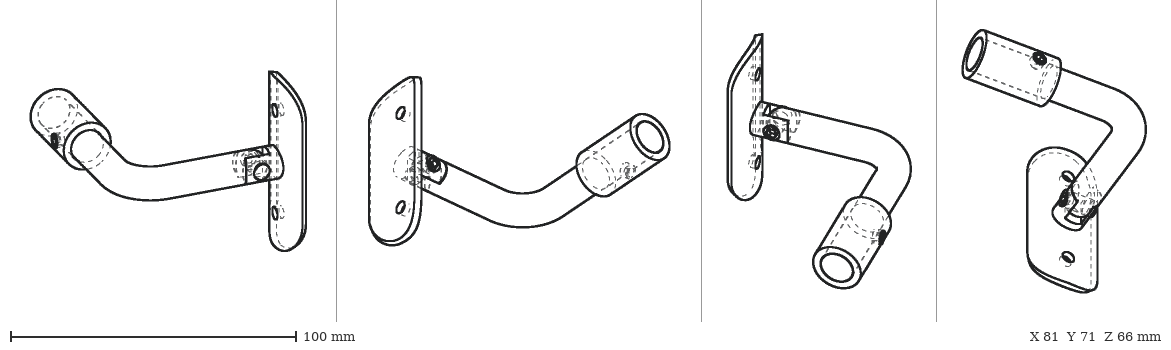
import cadquery as cq
import math

overall_length = 81.0
overall_depth = 71.0

sleeve_radius = 9.0
sleeve_length = 29.55
sleeve_bore_clearance = 0.2

screw_x = 21.1
screw_radius = 2.5
screw_rim_chamfer = 0.2
screw_hex_flats = 2.9
screw_hex_depth = 1.95

plate_height = 66.0
plate_width = 28.0
plate_outer_radius = 23.7
plate_thickness = 2.5
plate_corner_radius = 13.0
mount_hole_diameter = 4.5
mount_hole_z = 20.0

arm_radius = 6.0
bend_radius = 14.0
tongue_thickness = 6.2
tongue_tip_gap = 0.1

pivot_y = 48.0
fork_slot_end_y = 52.15
prong_tip_y = 42.1
prong_corner_y = 43.1
prong_end_gap = 0.25
bolt_radius = 3.0
bolt_hex_flats = 3.5
bolt_hex_depth = 2.0

post_x = overall_length - plate_width / 2
bend_start_x = post_x - bend_radius
plate_angle = math.asin(plate_width / 2 / plate_outer_radius)
plate_inner_radius = plate_outer_radius - plate_thickness
plate_back_y = overall_depth - sleeve_radius
plate_axis_y = plate_back_y + plate_inner_radius * math.cos(plate_angle)
arm_tip_y = fork_slot_end_y - tongue_tip_gap
prong_inner_x = tongue_thickness / 2
prong_half_height = math.sqrt(arm_radius**2 - prong_inner_x**2)


def cylinder(radius, length, start, direction):
    return cq.Workplane(cq.Solid.makeCylinder(radius, length, cq.Vector(*start), cq.Vector(*direction)))


def hex_cutter(across_flats, depth, plane):
    """Hexagonal prism that grows from the origin of the plane along its normal, two corners on its xDir."""
    across_corners = across_flats / math.cos(math.pi / 6)
    return cq.Workplane(plane).polygon(6, across_corners).extrude(depth)




def bent_strip():
    """Part of a tube wall between two radial end faces."""

    def rim_point(radius, angle):
        return (post_x + radius * math.sin(angle), plate_axis_y - radius * math.cos(angle))

    return (
        cq.Workplane("XY", origin=(0, 0, -plate_height / 2))
        .moveTo(*rim_point(plate_outer_radius, -plate_angle))
        .threePointArc(rim_point(plate_outer_radius, 0), rim_point(plate_outer_radius, plate_angle))
        .lineTo(*rim_point(plate_inner_radius, plate_angle))
        .threePointArc(rim_point(plate_inner_radius, 0), rim_point(plate_inner_radius, -plate_angle))
        .close()
        .extrude(plate_height)
    )


def rounded_end(side):
    """Block whose two rounded edges run along one radial end face; its other sides clear the plate."""
    across_end = (side * math.cos(plate_angle), math.sin(plate_angle), 0)
    outward = (side * math.sin(plate_angle), -math.cos(plate_angle), 0)
    plane = cq.Plane(origin=(post_x, plate_axis_y, 0), xDir=across_end, normal=outward)
    half_height = plate_height / 2
    corner_start_z = half_height - plate_corner_radius
    block_depth = 2 * plate_width
    return (
        cq.Workplane(plane)
        .moveTo(-block_depth, -half_height)
        .lineTo(-plate_corner_radius, -half_height)
        .radiusArc((0, -corner_start_z), -plate_corner_radius)
        .lineTo(0, corner_start_z)
        .radiusArc((-plate_corner_radius, half_height), -plate_corner_radius)
        .lineTo(-block_depth, half_height)
        .close()
        .extrude(2 * plate_outer_radius)
    )


def prong_block(end_shift):
    """Block as wide as the fork, from the slot end to the arched prong ends, which end_shift lengthens."""
    corner_y = prong_corner_y - end_shift
    tip_y = prong_tip_y - end_shift
    return (
        cq.Workplane("YZ", origin=(post_x - arm_radius, 0, 0))
        .moveTo(fork_slot_end_y, -prong_half_height)
        .lineTo(corner_y, -prong_half_height)
        .threePointArc((tip_y, 0), (corner_y, prong_half_height))
        .lineTo(fork_slot_end_y, prong_half_height)
        .close()
        .extrude(2 * arm_radius)
    )


def tongue_slab():
    """Slab as thick as the tongue that fills the slot of the fork."""
    slab_length = fork_slot_end_y - bend_radius
    return (
        cq.Workplane("XY")
        .box(tongue_thickness, slab_length, 2 * arm_radius, centered=(True, False, True))
        .translate((post_x, bend_radius, 0))
    )


def bolt_cylinder():
    """Full width of the fork; serves as the bolt and as the bore it fills."""
    return cylinder(bolt_radius, 2 * arm_radius, (post_x - arm_radius, pivot_y, 0), (1, 0, 0))


def make_wall_plate():
    plate = bent_strip().intersect(rounded_end(-1)).intersect(rounded_end(1))
    for z in (-mount_hole_z, mount_hole_z):
        plate = plate.cut(cylinder(mount_hole_diameter / 2, overall_depth, (post_x, 0, z), (0, 1, 0)))

    stub = cylinder(arm_radius, plate_axis_y - fork_slot_end_y, (post_x, fork_slot_end_y, 0), (0, 1, 0))
    tube_core = cylinder(
        plate_outer_radius, plate_height, (post_x, plate_axis_y, -plate_height / 2), (0, 0, 1)
    )
    stub = stub.cut(tube_core)

    prongs = cylinder(arm_radius, fork_slot_end_y, (post_x, 0, 0), (0, 1, 0))
    prongs = prongs.intersect(prong_block(0)).cut(tongue_slab()).cut(bolt_cylinder())
    return plate.union(stub).union(prongs)




def make_arm():
    round_end_y = arm_tip_y - arm_radius
    lower_leg = cylinder(arm_radius, bend_start_x, (0, 0, 0), (1, 0, 0))
    bend = (
        cq.Workplane("YZ", origin=(bend_start_x, 0, 0))
        .circle(arm_radius)
        .revolve(90, (bend_radius, 0, 0), (bend_radius, 1, 0))
    )
    upper_leg = cylinder(arm_radius, round_end_y - bend_radius, (post_x, bend_radius, 0), (0, 1, 0))
    round_end = cq.Workplane("XY", origin=(post_x, round_end_y, 0)).sphere(arm_radius)

    side_recesses = prong_block(prong_end_gap).cut(tongue_slab())
    upper_leg = upper_leg.union(round_end).cut(side_recesses).cut(bolt_cylinder())
    return lower_leg.union(bend).union(upper_leg)




def make_sleeve():
    sleeve = cylinder(sleeve_radius, sleeve_length, (0, 0, 0), (1, 0, 0))
    bore = cylinder(arm_radius + sleeve_bore_clearance, sleeve_length, (0, 0, 0), (1, 0, 0))
    screw_hole = cylinder(screw_radius, sleeve_radius, (screw_x, 0, 0), (0, -1, 0))
    return sleeve.cut(bore).cut(screw_hole)




def make_set_screw():
    screw = cylinder(screw_radius, sleeve_radius - arm_radius, (screw_x, -sleeve_radius, 0), (0, 1, 0))
    screw = screw.faces("<Y").chamfer(screw_rim_chamfer)
    head_plane = cq.Plane(origin=(screw_x, -sleeve_radius, 0), xDir=(1, 0, 0), normal=(0, 1, 0))
    return screw.cut(hex_cutter(screw_hex_flats, screw_hex_depth, head_plane))


def make_pivot_bolt():
    head_plane = cq.Plane(origin=(post_x - arm_radius, pivot_y, 0), xDir=(0, 1, 0), normal=(1, 0, 0))
    return bolt_cylinder().cut(hex_cutter(bolt_hex_flats, bolt_hex_depth, head_plane))


wall_plate = make_wall_plate()
arm = make_arm()
sleeve = make_sleeve()
set_screw = make_set_screw()
pivot_bolt = make_pivot_bolt()

result = cq.Compound.makeCompound(
    [wall_plate.val(), arm.val(), sleeve.val(), set_screw.val(), pivot_bolt.val()]
)